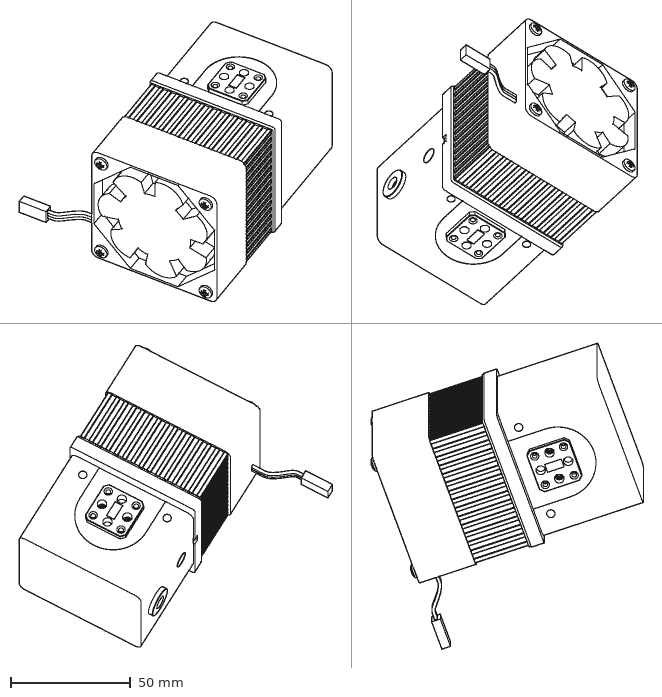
import cadquery as cq
import math


square_side = 60.0
fan_depth = 25.0
fan_corner_radius = 3.1
flange_front = 48.6
flange_back = 55.2
flange_corner_radius = 1.4
flange_bevel_length = 1.0
flange_bevel_inset = 0.5
body_back = 99.4
body_width = 58.6
body_height = 48.3
body_corner_radius = 3.2

sink_side = 57.8
fin_count = 15
fin_base_width = 2.0
fin_slope = 0.25
groove_depth = 0.3

opening_side = 57.8
opening_flat = 22.8
opening_depth = 7.3
blade_count = 7
blade_root_radius = 17.5
blade_leading_radius = 25.7
blade_crown_radius = 26.8
blade_trailing_radius = 23.4
first_slot_angle = 97.2
slot_half_angle = 8.2

screw_offset = 25.0
screw_radius = 2.9
screw_rim_height = 1.0
screw_height = 2.0
cross_length = 3.2
cross_width = 1.0
cross_depth = 0.9
pit_width = 1.2
pit_depth = 1.5

pad_y = 70.2
pad_width = 19.3
pad_length = 18.9
pad_height = 2.0
pad_corner = 1.7
pad_edge = 0.2
pad_screw_x = 6.7
pad_screw_y = 6.4
pad_screw_radius = 1.0
pad_sink_radius = 1.7
pad_sink_depth = 0.5
pad_pin_offset = 6.1
pad_pin_radius = 1.9
pad_hole_depth = 4.1
socket_radii = (1.6, 1.2, 0.8)
socket_step = 0.5
window_width = 3.7
window_length = 7.3

recess_depth = 0.2
arch_radius = 15.9
arch_center_y = 71.7
spot_x = 20.3
spot_y = 61.5
spot_radius = 1.7
side_spot_y = 65.2
side_spot_radius = 3.3

port_y = 86.8
port_radius = 6.4
port_height = 2.0
port_edge = 0.2
port_bore_radius = 2.8
port_bore_depth = 2.0
port_pin_radius = 1.2
port_pin_length = 0.3
port_pin_bore = 0.6

notch_height = 3.9
notch_length = 2.2
notch_depth = 1.0

plug_left = -63.6
plug_length = 12.9
plug_thickness = 3.9
plug_height = 6.3
plug_y = -0.1
plug_z = -16.0
wire_count = 3
wire_radius = 0.7
wire_pitch = 1.5
middle_wire_z = -15.8
wire_exit_y = 6.6
wire_bend_start_x = -48.4
wire_bend_points = ((-45.6, 0.8), (-41.8, 3.9), (-37.9, 6.2))
wire_bend_end_x = -31.9
wire_insertion = 1.0


def block(width, height, y_from, y_to):
    """Box centred in X and Z between two Y positions."""
    return cq.Workplane("XY").box(width, y_to - y_from, height).translate((0, (y_from + y_to) / 2, 0))


def front_plane(y):
    """Workplane at y facing -Y, with local x along X and local y along Z."""
    return cq.Workplane("XZ", origin=(0, y, 0))


def polar(radius, degrees):
    angle = math.radians(degrees)
    return (radius * math.cos(angle), radius * math.sin(angle))


def make_heat_sink():
    length = flange_front - fan_depth
    pitch = (sink_side - fin_base_width) / (fin_count - 1)
    floor_half = (pitch - fin_base_width) / 2
    mouth_half = floor_half + fin_slope
    mouth_z = sink_side / 2
    floor_z = mouth_z - groove_depth
    sink = block(sink_side, sink_side, fan_depth, flange_front).edges("|Y").chamfer(fin_slope)
    for number in range(fin_count - 1):
        x = (number - (fin_count - 2) / 2) * pitch
        groove = (
            front_plane(fan_depth)
            .moveTo(x - mouth_half, mouth_z)
            .lineTo(x - floor_half, floor_z)
            .lineTo(x + floor_half, floor_z)
            .lineTo(x + mouth_half, mouth_z)
            .close()
            .extrude(-length)
        )
        for turn in range(4):
            sink = sink.cut(groove.rotate((0, 0, 0), (0, 1, 0), 90 * turn))
    return sink


def make_rotor():
    """Seven blades with slots between them; each slot floor follows the root radius."""
    pitch = 360 / blade_count
    slot = first_slot_angle
    rotor = front_plane(0).moveTo(*polar(blade_root_radius, slot + slot_half_angle))
    for _ in range(blade_count):
        next_slot = slot - pitch
        rotor = (
            rotor.threePointArc(
                polar(blade_root_radius, slot), polar(blade_root_radius, slot - slot_half_angle)
            )
            .lineTo(*polar(blade_leading_radius, slot - slot_half_angle))
            .threePointArc(
                polar(blade_crown_radius, slot - pitch / 2),
                polar(blade_trailing_radius, next_slot + slot_half_angle),
            )
            .lineTo(*polar(blade_root_radius, next_slot + slot_half_angle))
        )
        slot = next_slot
    return rotor.close().extrude(-opening_depth)


def make_fan():
    housing = block(square_side, square_side, 0, fan_depth).edges("|Y").fillet(fan_corner_radius)
    opening = block(opening_side, opening_side, 0, opening_depth)
    opening = opening.edges("|Y").chamfer((opening_side - opening_flat) / 2)
    return housing.cut(opening).union(make_rotor())


def make_screw():
    """Domed screw head with a cross recess and a square pit, standing on Y = 0 and pointing to -Y."""
    dome_rise = screw_height - screw_rim_height
    dome_radius = (screw_radius**2 + dome_rise**2) / (2 * dome_rise)
    middle_x = screw_radius / 2
    middle_height = screw_height - dome_radius + math.sqrt(dome_radius**2 - middle_x**2)
    head = (
        cq.Workplane("XY")
        .lineTo(screw_radius, 0)
        .lineTo(screw_radius, -screw_rim_height)
        .threePointArc((middle_x, -middle_height), (0, -screw_height))
        .close()
        .revolve(360, (0, 0, 0), (0, 1, 0))
    )
    for width, height, depth in (
        (cross_length, cross_width, cross_depth),
        (cross_width, cross_length, cross_depth),
        (pit_width, pit_width, pit_depth),
    ):
        head = head.cut(block(width, height, -screw_height, depth - screw_height))
    return head


def make_flange():
    flange = block(square_side, square_side, flange_front, flange_back)
    flange = flange.edges("|Y").fillet(flange_corner_radius)
    flange = flange.faces("<Y").chamfer(flange_bevel_inset, flange_bevel_length)
    notch = cq.Workplane("XY").box(notch_depth, notch_length, notch_height)
    return flange.cut(
        notch.translate(((notch_depth - square_side) / 2, flange_back - notch_length / 2, 0))
    )


def cylinder_down(x, y, top, radius, depth):
    """Upright cylinder that reaches down from the height top."""
    return cq.Workplane("XY", origin=(x, y, top)).circle(radius).extrude(-depth)


def add_top_features(body):
    """Arch, spots and waveguide pad with its window on the +Z face."""
    face_z = body_height / 2
    arch = (
        cq.Workplane("XY", origin=(0, 0, face_z))
        .moveTo(-arch_radius, flange_back)
        .lineTo(-arch_radius, arch_center_y)
        .threePointArc((0, arch_center_y + arch_radius), (arch_radius, arch_center_y))
        .lineTo(arch_radius, flange_back)
        .close()
        .extrude(-recess_depth)
    )
    body = body.cut(arch)
    for x in (-spot_x, spot_x):
        body = body.cut(cylinder_down(x, spot_y, face_z, spot_radius, recess_depth))

    pad_top = face_z + pad_height
    pad = (
        cq.Workplane("XY", origin=(0, pad_y, face_z - recess_depth))
        .rect(pad_width, pad_length)
        .extrude(pad_height + recess_depth)
        .edges("|Z")
        .chamfer(pad_corner)
        .faces(">Z")
        .chamfer(pad_edge)
    )
    body = body.union(pad)
    window = cq.Workplane("XY").box(window_width, window_length, recess_depth)
    body = body.cut(window.translate((0, pad_y, pad_top - recess_depth / 2)))
    for x in (-pad_screw_x, pad_screw_x):
        for y in (pad_y - pad_screw_y, pad_y + pad_screw_y):
            body = body.cut(cylinder_down(x, y, pad_top, pad_screw_radius, pad_hole_depth))
            mouth = cq.Vector(x, y, pad_top)
            down = cq.Vector(0, 0, -1)
            sink = cq.Solid.makeCone(pad_sink_radius, pad_screw_radius, pad_sink_depth, mouth, down)
            body = body.cut(cq.Workplane(sink))
    for offset in (-pad_pin_offset, pad_pin_offset):
        body = body.cut(cylinder_down(0, pad_y + offset, pad_top, pad_pin_radius, pad_hole_depth))
        body = body.cut(cylinder_down(offset, pad_y, pad_top, pad_pin_radius, pad_hole_depth))
        for step, radius in enumerate(socket_radii, start=1):
            depth = pad_hole_depth + step * socket_step
            body = body.cut(cylinder_down(offset, pad_y, pad_top, radius, depth))
    return body


def side_cylinder(x, y, radius, depth):
    """Cylinder along +X that starts at x on the middle height."""
    return cq.Workplane("YZ", origin=(x, y, 0)).circle(radius).extrude(depth)


def add_side_features(body):
    """Coaxial port and round recess on the -X face."""
    face_x = -body_width / 2
    port_x = face_x - port_height
    port = side_cylinder(port_x, port_y, port_radius, port_height).faces("<X").chamfer(port_edge)
    body = body.union(port)
    body = body.cut(side_cylinder(port_x, port_y, port_bore_radius, port_bore_depth))
    pin_x = port_x + port_bore_depth - port_pin_length
    body = body.union(side_cylinder(pin_x, port_y, port_pin_radius, port_pin_length))
    body = body.cut(side_cylinder(pin_x, port_y, port_pin_bore, port_pin_length))
    return body.cut(side_cylinder(face_x, side_spot_y, side_spot_radius, recess_depth))


def make_body():
    body = block(body_width, body_height, flange_back, body_back).edges("|Y").fillet(body_corner_radius)
    body = add_top_features(body)
    body = add_top_features(body.mirror("XY"))
    return add_side_features(body)


def make_wire(z):
    plug_right = plug_left + plug_length
    path = (
        cq.Workplane("XY", origin=(0, 0, z))
        .moveTo(plug_right - wire_insertion, plug_y)
        .lineTo(wire_bend_start_x, plug_y)
        .spline(
            [*wire_bend_points, (wire_bend_end_x, wire_exit_y)],
            tangents=[(1, 0), (1, 0)],
            includeCurrent=True,
        )
        .lineTo(wire_insertion - square_side / 2, wire_exit_y)
    )
    start = cq.Workplane("YZ", origin=(plug_right - wire_insertion, plug_y, z))
    return start.circle(wire_radius).sweep(path)


def make_cable():
    plug = cq.Workplane("XY").box(plug_length, plug_thickness, plug_height)
    cable = plug.translate((plug_left + plug_length / 2, plug_y, plug_z))
    for number in range(wire_count):
        cable = cable.union(make_wire(middle_wire_z + (number - (wire_count - 1) / 2) * wire_pitch))
    return cable


result = make_fan().union(make_heat_sink()).union(make_flange()).union(make_body())
for screw_x in (-screw_offset, screw_offset):
    for screw_z in (-screw_offset, screw_offset):
        result = result.union(make_screw().translate((screw_x, 0, screw_z)))
result = result.union(make_cable())